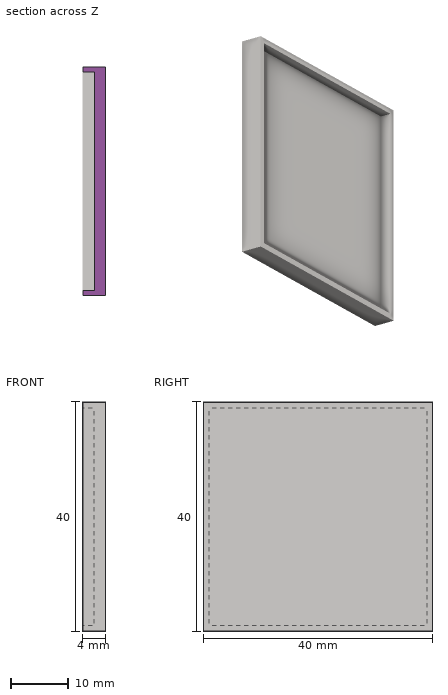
import cadquery as cq

side = 40.0
thickness = 4.0
rim_width = 1.0
pocket_depth = 2.0

pocket_side = side - 2 * rim_width

plate = cq.Workplane("XY").box(thickness, side, side)

result = plate.faces("<X").workplane().rect(pocket_side, pocket_side).cutBlind(-pocket_depth)